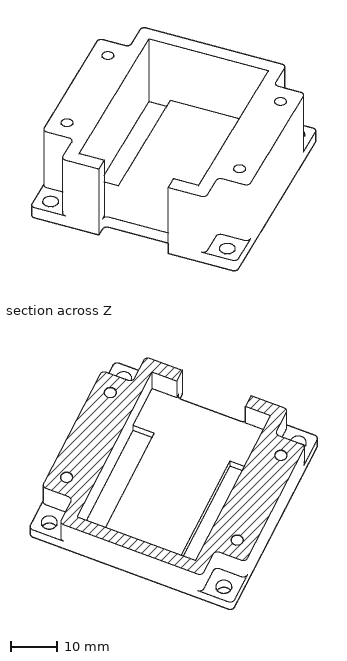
import cadquery as cq

length_x = 48.0
length_y = 46.5
height = 19.0
floor_thickness = 3.0
corner_radius = 1.0

notch_x = 7.2
notch_y = 7.0

cavity_x = 27.8
end_wall = 3.1
recess_x = 5.0
recess_y = 30.0
recess_depth = 2.0
opening_x = 16.1

foot_hole_diameter = 3.4
foot_hole_spacing_x = 41.1
foot_hole_spacing_y = 40.2
screw_hole_diameter = 2.55
screw_hole_spacing_x = 40.15
screw_hole_spacing_y = 23.6
screw_hole_depth = 9.6
screw_tip_depth = 0.75

cavity_y = length_y - 2 * end_wall
cavity_back = cavity_y / 2
opening_center_y = -(length_y - end_wall) / 2
foot_center_x = (length_x - notch_x) / 2
foot_center_y = (length_y - notch_y) / 2
SIDES = (-1, 1)


def box(size_x, size_y, center_x, center_y, bottom, top):
    """Upright box between two heights."""
    base = cq.Workplane("XY", origin=(center_x, center_y, bottom))
    return base.rect(size_x, size_y).extrude(top - bottom)


def make_base():
    """Rounded floor plate, with the front opening cut through it."""
    plate = box(length_x, length_y, 0, 0, 0, floor_thickness).edges("|Z").fillet(corner_radius)
    opening = box(opening_x, end_wall, 0, opening_center_y, 0, floor_thickness)
    opening = opening.edges("|Z and >Y").fillet(corner_radius)
    return plate.cut(opening)


def make_walls():
    """Cross-shaped upper body around the cavity, open at the front."""
    walls = box(length_x, length_y, 0, 0, floor_thickness, height)
    for side_x in SIDES:
        for side_y in SIDES:
            center_x = side_x * foot_center_x
            center_y = side_y * foot_center_y
            walls = walls.cut(box(notch_x, notch_y, center_x, center_y, floor_thickness, height))
    walls = walls.edges("|Z").fillet(corner_radius)
    walls = walls.cut(box(cavity_x, cavity_y, 0, 0, floor_thickness, height))
    return walls.cut(box(opening_x, end_wall, 0, opening_center_y, floor_thickness, height))


def cut_floor_recesses(body):
    """Sink a long pocket into the floor along each side wall, from the back wall."""
    center_x = (cavity_x - recess_x) / 2
    center_y = cavity_back - recess_y / 2
    bottom = floor_thickness - recess_depth
    for side in SIDES:
        body = body.cut(box(recess_x, recess_y, side * center_x, center_y, bottom, floor_thickness))
    return body


def cut_foot_holes(body):
    """Drill one mounting hole through each foot."""
    holes = (
        cq.Workplane("XY")
        .rarray(foot_hole_spacing_x, foot_hole_spacing_y, 2, 2)
        .circle(foot_hole_diameter / 2)
        .extrude(floor_thickness)
    )
    return body.cut(holes)


def cut_screw_holes(body):
    """Drill four blind holes with conical tips into the top face."""
    radius = screw_hole_diameter / 2
    drill = (
        cq.Workplane("XZ")
        .polyline([
            (0, height),
            (radius, height),
            (radius, height - screw_hole_depth),
            (0, height - screw_hole_depth - screw_tip_depth),
        ])
        .close()
        .revolve(360, (0, 0), (0, 1))
    )
    for side_x in SIDES:
        for side_y in SIDES:
            center_x = side_x * screw_hole_spacing_x / 2
            center_y = side_y * screw_hole_spacing_y / 2
            body = body.cut(drill.translate((center_x, center_y, 0)))
    return body


result = make_base().union(make_walls())
result = cut_floor_recesses(result)
result = cut_foot_holes(result)
result = cut_screw_holes(result)